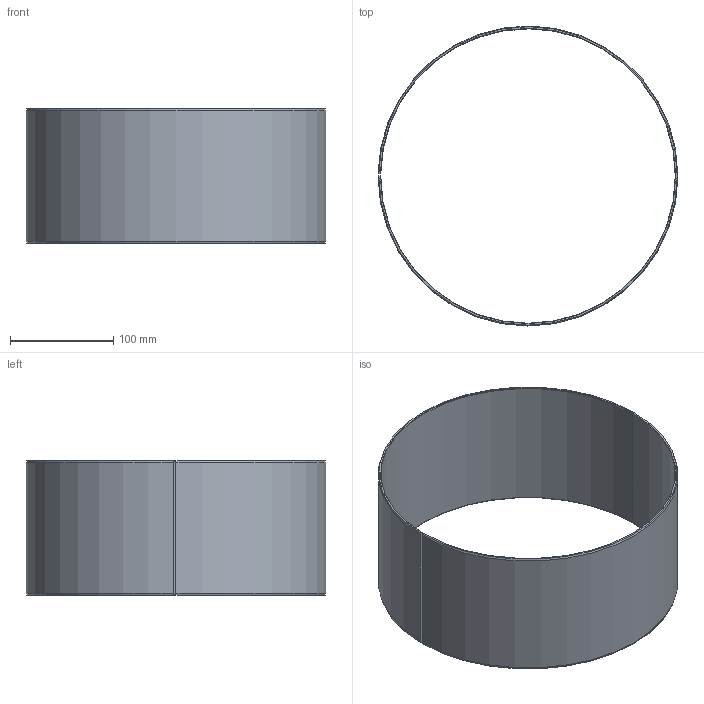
import cadquery as cq
import math

outer_diameter = 290.0
height = 130.0
wall = 2.5
slit_angle = 1.0

outer_bevel_height = 1.8
outer_bevel_lean = 20.0
inner_bevel_height = 0.6
inner_bevel_lean = 30.0

outer_radius = outer_diameter / 2
inner_radius = outer_radius - wall


def bevel_depth(bevel_height, lean):
    """Radial depth of a bevel with the given height and lean from the vertical."""
    return bevel_height * math.tan(math.radians(lean))


def make_wall_section():
    """Wall profile on the +X side, bevelled outside and inside at both rims."""
    outer_rim_radius = outer_radius - bevel_depth(outer_bevel_height, outer_bevel_lean)
    inner_rim_radius = inner_radius + bevel_depth(inner_bevel_height, inner_bevel_lean)
    section = [
        (outer_rim_radius, 0),
        (outer_radius, outer_bevel_height),
        (outer_radius, height - outer_bevel_height),
        (outer_rim_radius, height),
        (inner_rim_radius, height),
        (inner_radius, height - inner_bevel_height),
        (inner_radius, inner_bevel_height),
        (inner_rim_radius, 0),
    ]
    return cq.Workplane("XZ").polyline(section).close()


def make_band():
    """Complete ring around Z, standing on Z = 0."""
    return make_wall_section().revolve(axisStart=(0, 0), axisEnd=(0, 1))


def make_slit():
    """Full-height radial wedge on the -X side, from Y = 0 opening towards +Y."""
    reach = 2 * outer_radius
    rise = reach * math.tan(math.radians(slit_angle))
    wedge = [(0, 0), (-reach, 0), (-reach, rise)]
    return cq.Workplane("XY").polyline(wedge).close().extrude(height)


result = make_band().cut(make_slit())